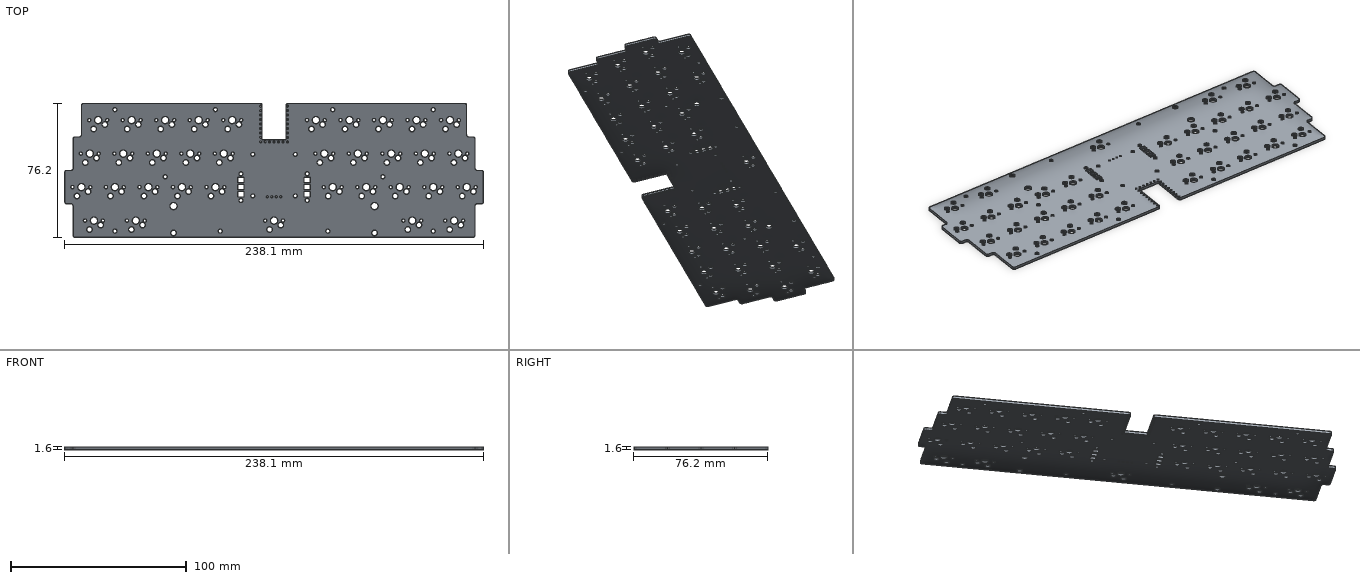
import cadquery as cq

PITCH = 19.05
THICKNESS = 1.6

HALF_COLUMNS_1 = [1.25, 2.25, 3.25, 4.25, 5.25]
HALF_COLUMNS_2 = [1.5, 2.5, 3.5, 4.5, 5.5]
HALF_COLUMNS_3 = [1.75, 2.75, 3.75, 4.75, 5.75]
HALF_COLUMNS_4 = [4.125, 5.375]


def mirrored(columns):
    """Columns on both sides of the centre line."""
    return [-c for c in columns] + list(columns)


FRONT_ROW = -1.5
KEY_ROWS = [
    (1.5, mirrored(HALF_COLUMNS_1)),
    (0.5, mirrored(HALF_COLUMNS_2)),
    (-0.5, mirrored(HALF_COLUMNS_3)),
    (FRONT_ROW, mirrored(HALF_COLUMNS_4) + [0]),
]

HALF_DEPTH = 2 * PITCH
BACK_HALF_WIDTH = 5.75 * PITCH
BODY_HALF_WIDTH = 6 * PITCH
TAB_HALF_WIDTH = 6.25 * PITCH
CORNER_RADIUS = 1.2

NOTCH_HALF_WIDTH = 6.73
NOTCH_FLOOR_Y = 17.5

SWITCH_GRID = 1.27
SWITCH_POST_DIAMETER = 3.99
SWITCH_PIN_DIAMETER = 1.75
SWITCH_PIN_OFFSET = 4 * SWITCH_GRID
CONTACT_DIAMETER = 3.05
CONTACT_OFFSETS = [(3 * SWITCH_GRID, -2 * SWITCH_GRID), (-2 * SWITCH_GRID, -4 * SWITCH_GRID)]

STABILISER_HALF_SPAN = 3 * PITCH
STABILISER_LARGE_DIAMETER = 3.99
STABILISER_LARGE_DY = 8.255
STABILISER_SMALL_DIAMETER = 3.05
STABILISER_SMALL_DY = -6.985

MOUNT_DIAMETER = 2.2
OUTER_MOUNT_X = 4.75 * PITCH
BACK_INNER_MOUNT_X = 1.75 * PITCH
MIDDLE_MOUNT_X = 3.25 * PITCH
FRONT_INNER_MOUNT_X = 30.6
EDGE_MOUNT_Y = 34.53
MIDDLE_MOUNT_Y = -3.65

HEADER_PITCH = 2.54
HEADER_PIN_DIAMETER = 1.0
CONTROLLER_SIDE_PINS = 9
CONTROLLER_FLOOR_PINS = 7
CONTROLLER_FLOOR_Y = 16.19
DISPLAY_PINS = 4
DISPLAY_PIN_Y = -15.05

DISPLAY_MOUNT_DIAMETER = 2.1
DISPLAY_MOUNT_X = 12.09
DISPLAY_MOUNT_BACK_Y = 9.08
DISPLAY_MOUNT_FRONT_Y = -14.5

WINDOW_X = 18.83
WINDOW_CENTRE_Y = -0.5 * PITCH
WINDOW_COUNT = 3
WINDOW_PITCH = 4.05
WINDOW_WIDTH = 3.4
WINDOW_DEPTH = 2.9
WINDOW_PEG_DIAMETER = 2.2
WINDOW_PEG_OFFSET = 7.56


def both_sides(points):
    """Points together with their mirror images across the centre line."""
    return [(side * x, y) for x, y in points for side in (-1, 1)]


def make_board():
    """Plate with stepped sides and a notch in the back edge; the notch floor keeps sharp corners."""
    notch_floor = [(NOTCH_HALF_WIDTH, NOTCH_FLOOR_Y)]
    rounded_corners = [
        (NOTCH_HALF_WIDTH, HALF_DEPTH),
        (BACK_HALF_WIDTH, HALF_DEPTH),
        (BACK_HALF_WIDTH, PITCH),
        (BODY_HALF_WIDTH, PITCH),
        (BODY_HALF_WIDTH, 0),
        (TAB_HALF_WIDTH, 0),
        (TAB_HALF_WIDTH, -PITCH),
        (BODY_HALF_WIDTH, -PITCH),
        (BODY_HALF_WIDTH, -HALF_DEPTH),
    ]
    right_side = notch_floor + rounded_corners
    left_side = [(-x, y) for x, y in reversed(right_side)]
    board = cq.Workplane("XY").polyline(right_side + left_side).close().extrude(THICKNESS)
    for x, y in both_sides(rounded_corners):
        corner = cq.selectors.NearestToPointSelector((x, y, THICKNESS / 2))
        board = board.edges("|Z").edges(corner).fillet(CORNER_RADIUS)
    return board


def drill(board, points, diameter):
    """Drill through holes at the given points."""
    cutter = cq.Workplane("XY").pushPoints(points).circle(diameter / 2).extrude(THICKNESS)
    return board.cut(cutter)


def row_of_points(count, pitch, y):
    """Evenly spaced points along X, centred on X = 0."""
    return [((i - (count - 1) / 2) * pitch, y) for i in range(count)]


def drill_switches(board):
    """Centre post, two side pins and two contact holes for every key."""
    centres = [(column * PITCH, row * PITCH) for row, columns in KEY_ROWS for column in columns]
    pins = [(x + side * SWITCH_PIN_OFFSET, y) for x, y in centres for side in (-1, 1)]
    contacts = [(x + dx, y + dy) for x, y in centres for dx, dy in CONTACT_OFFSETS]
    board = drill(board, centres, SWITCH_POST_DIAMETER)
    board = drill(board, pins, SWITCH_PIN_DIAMETER)
    return drill(board, contacts, CONTACT_DIAMETER)


def drill_stabiliser(board):
    """A large and a small hole at each end of the space bar."""
    y = FRONT_ROW * PITCH
    large = both_sides([(STABILISER_HALF_SPAN, y + STABILISER_LARGE_DY)])
    small = both_sides([(STABILISER_HALF_SPAN, y + STABILISER_SMALL_DY)])
    board = drill(board, large, STABILISER_LARGE_DIAMETER)
    return drill(board, small, STABILISER_SMALL_DIAMETER)


def drill_mounts(board):
    right_half = [
        (OUTER_MOUNT_X, EDGE_MOUNT_Y),
        (BACK_INNER_MOUNT_X, EDGE_MOUNT_Y),
        (MIDDLE_MOUNT_X, MIDDLE_MOUNT_Y),
        (OUTER_MOUNT_X, -EDGE_MOUNT_Y),
        (FRONT_INNER_MOUNT_X, -EDGE_MOUNT_Y),
    ]
    return drill(board, both_sides(right_half), MOUNT_DIAMETER)


def drill_headers(board):
    """Controller pins around the notch and the display pins in front of it."""
    floor_pins = row_of_points(CONTROLLER_FLOOR_PINS, HEADER_PITCH, CONTROLLER_FLOOR_Y)
    side_x = floor_pins[-1][0]
    side_pins = both_sides(
        [(side_x, CONTROLLER_FLOOR_Y + i * HEADER_PITCH) for i in range(1, CONTROLLER_SIDE_PINS)]
    )
    display_pins = row_of_points(DISPLAY_PINS, HEADER_PITCH, DISPLAY_PIN_Y)
    return drill(board, floor_pins + side_pins + display_pins, HEADER_PIN_DIAMETER)


def drill_display_mounts(board):
    points = both_sides([(DISPLAY_MOUNT_X, DISPLAY_MOUNT_BACK_Y), (DISPLAY_MOUNT_X, DISPLAY_MOUNT_FRONT_Y)])
    return drill(board, points, DISPLAY_MOUNT_DIAMETER)


def cut_windows(board):
    """A column of rectangular windows on each side, with a round hole at both ends."""
    offsets = [(i - (WINDOW_COUNT - 1) / 2) * WINDOW_PITCH for i in range(WINDOW_COUNT)]
    centres = both_sides([(WINDOW_X, WINDOW_CENTRE_Y + dy) for dy in offsets])
    windows = cq.Workplane("XY").pushPoints(centres).rect(WINDOW_WIDTH, WINDOW_DEPTH).extrude(THICKNESS)
    pegs = both_sides([(WINDOW_X, WINDOW_CENTRE_Y + side * WINDOW_PEG_OFFSET) for side in (-1, 1)])
    return drill(board.cut(windows), pegs, WINDOW_PEG_DIAMETER)


result = make_board()
result = drill_switches(result)
result = drill_stabiliser(result)
result = drill_mounts(result)
result = drill_headers(result)
result = drill_display_mounts(result)
result = cut_windows(result)